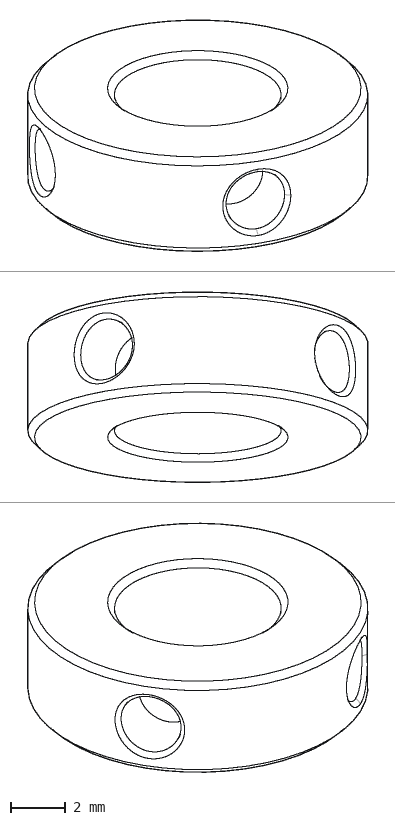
import cadquery as cq

outer_diameter = 12.45
ring_width = 3.81
bore_diameter = 6.1
ring_chamfer = 0.25

hole_count = 4
hole_diameter = 2.29
hole_depth = 2.54
hole_chamfer = 0.19

outer_radius = outer_diameter / 2
hole_floor_radius = outer_radius - hole_depth
drill_overshoot = 1.0


def make_ring():
    """Plain ring on the Z axis, chamfered at both ends of the rim and the bore."""
    ring = (
        cq.Workplane("XY")
        .circle(outer_radius)
        .circle(bore_diameter / 2)
        .extrude(ring_width / 2, both=True)
    )
    return ring.edges("%CIRCLE").chamfer(ring_chamfer)


def make_radial_drill(angle):
    """Cylinder lying along a radius, from the hole floor to just outside the rim."""
    drill = (
        cq.Workplane("YZ", origin=(hole_floor_radius, 0, 0))
        .circle(hole_diameter / 2)
        .extrude(hole_depth + drill_overshoot)
    )
    return drill.rotate((0, 0, 0), (0, 0, 1), angle)


def chamfer_hole_mouths(body):
    """Break the edge where each hole meets the rim."""
    return body.edges("not(%LINE or %CIRCLE)").chamfer(hole_chamfer)


result = make_ring()
for index in range(hole_count):
    result = result.cut(make_radial_drill(index * 360 / hole_count))
result = chamfer_hole_mouths(result)